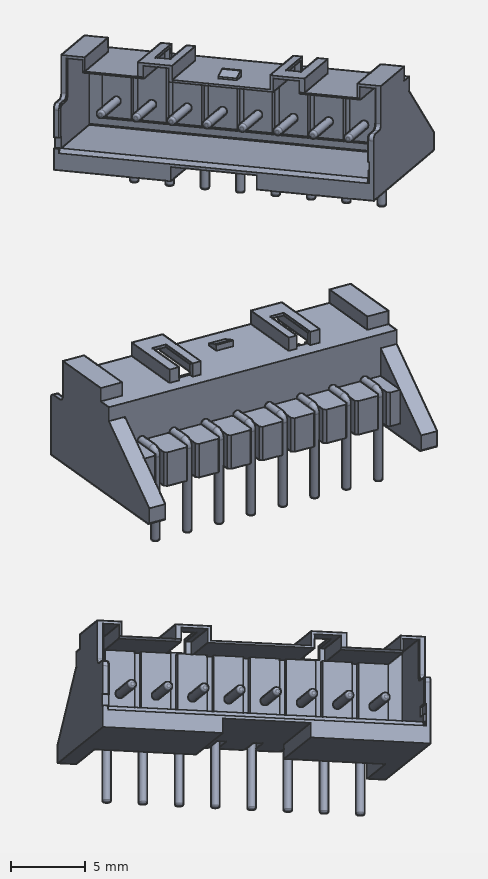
import cadquery as cq


LENGTH = 22.6
DEPTH = 12.6
HEIGHT = 7.6
ROOF_TOP = 6.6
ROOF_FRONT_Y = 1.54
REAR_WALL_Y = 7.44

BOX_REAR_Y = 6.4
SHOULDER_Z = 4.59
SHOULDER_RADIUS = 0.38
SLOPE_TOP_Z = 5.55
SLOPE_FOOT_Z = 1.22
REAR_FOOT_CHAMFER = 0.11
REAR_WING_THICKNESS = 1.27

SIDE_WALL = 0.45
FLOOR_Z = 1.5
CEILING_Z = 6.45
RAISED_CEILING_Z = 7.4
CAVITY_REAR_Y = 6.05
CAVITY_REAR_CHAMFER = 0.07
LIP_RUN = 0.23
LIP_DROP = 0.3
MOUTH_FLARE = 0.1

CORNER_BOX_INNER_X = 9.63
CORNER_CHANNEL_INNER_X = 9.79
KEY_BOX_INNER_X = 3.45
KEY_BOX_OUTER_X = 5.9
KEY_CHANNEL_INNER_X = 3.68
KEY_CHANNEL_OUTER_X = 5.51
KEY_SLOT_INNER_X = 4.1
KEY_SLOT_OUTER_X = 5.15
KEY_SLOT_FRONT_Y = 2.98

BUMP_WIDTH = 1.3
BUMP_FRONT_Y = 2.85
BUMP_CREST_Y = 3.68
BUMP_REAR_Y = 3.85
BUMP_FRONT_Z = 6.73
BUMP_TOP_Z = 7.03

FOOT_GAP_WIDTH = 6.05
FOOT_GAP_HEIGHT = 1.0

LEFT_NOTCH_DEPTH = 0.25
LEFT_NOTCH_BOTTOM = 1.5
LEFT_NOTCH_TOP = 2.28
RIGHT_POCKET_LENGTH = 1.13
RIGHT_POCKET_DEPTH = 0.14
RIGHT_POCKET_BOTTOM = 2.01
RIGHT_POCKET_TOP = 2.7

PIN_COUNT = 8
PIN_ROW_LENGTH = 17.5
PIN_DIAMETER = 0.6
PIN_AXIS_Z = 3.5
PIN_LEG_Y = 9.22
PIN_FRONT_Y = 2.12
PIN_BOTTOM_Z = -3.2
PIN_BEND_RADIUS = 0.36
PIN_TIP_ROUND = 0.18
PAD_WIDTH = 2.03
PAD_FRONT_Y = 5.55
PAD_BOTTOM_Z = 2.15
PAD_CHAMFER = 0.15
COMB_GAP = 0.63
COMB_REAR_Y = 9.95
COMB_CHAMFER = 0.18

PIN_PITCH = PIN_ROW_LENGTH / (PIN_COUNT - 1)
PIN_XS = [i * PIN_PITCH - PIN_ROW_LENGTH / 2 for i in range(PIN_COUNT)]
INNER_X = LENGTH / 2 - SIDE_WALL
WING_INNER_X = LENGTH / 2 - REAR_WING_THICKNESS


def block(x0, x1, y0, y1, z0, z1):
    """Box between two opposite corners, given as ranges along X, Y and Z."""
    size = (x1 - x0, y1 - y0, z1 - z0)
    return cq.Workplane("XY").box(*size, centered=False).translate((x0, y0, z0))


def mirrored(shape):
    """The shape together with its mirror image across the YZ plane."""
    return shape.union(shape.mirror("YZ"))


def side_wall_sketch(x):
    """Side wall outline in the YZ plane at the given X."""
    r = SHOULDER_RADIUS
    return (
        cq.Workplane("YZ", origin=(x, 0, 0))
        .moveTo(0, 0)
        .lineTo(0, SHOULDER_Z - r)
        .radiusArc((r, SHOULDER_Z), r)
        .lineTo(ROOF_FRONT_Y - r, SHOULDER_Z)
        .radiusArc((ROOF_FRONT_Y, SHOULDER_Z + r), -r)
        .lineTo(ROOF_FRONT_Y, HEIGHT)
        .lineTo(BOX_REAR_Y, HEIGHT)
        .lineTo(BOX_REAR_Y, ROOF_TOP)
        .lineTo(REAR_WALL_Y, ROOF_TOP)
        .lineTo(REAR_WALL_Y, SLOPE_TOP_Z)
        .lineTo(DEPTH, SLOPE_FOOT_Z)
        .lineTo(DEPTH, REAR_FOOT_CHAMFER)
        .lineTo(DEPTH - REAR_FOOT_CHAMFER, 0)
        .close()
    )


def shell():
    """Solid envelope: floor and roof block, raised boxes and both side walls."""
    core = block(-INNER_X, INNER_X, 0, REAR_WALL_Y, 0, FLOOR_Z)
    core = core.union(block(-INNER_X, INNER_X, ROOF_FRONT_Y, REAR_WALL_Y, 0, ROOF_TOP))
    corner = block(CORNER_BOX_INNER_X, INNER_X, ROOF_FRONT_Y, BOX_REAR_Y, ROOF_TOP, HEIGHT)
    key = block(KEY_BOX_INNER_X, KEY_BOX_OUTER_X, ROOF_FRONT_Y, BOX_REAR_Y, ROOF_TOP, HEIGHT)
    wall = side_wall_sketch(INNER_X).extrude(SIDE_WALL)
    wing = side_wall_sketch(WING_INNER_X).extrude(REAR_WING_THICKNESS)
    wing = wing.intersect(block(0, LENGTH, CAVITY_REAR_Y, DEPTH, 0, ROOF_TOP))
    return core.union(mirrored(corner.union(key).union(wall).union(wing)))


def cavity():
    """Room inside the shroud, with the channels that rise into the raised boxes."""
    room = block(-INNER_X, INNER_X, 0, CAVITY_REAR_Y, FLOOR_Z, CEILING_Z)
    room = room.edges(">Y and <Z").chamfer(CAVITY_REAR_CHAMFER)
    channel_z = (FLOOR_Z + CEILING_Z) / 2
    corner = block(CORNER_CHANNEL_INNER_X, INNER_X, 0, CAVITY_REAR_Y, channel_z, RAISED_CEILING_Z)
    key = block(
        KEY_CHANNEL_INNER_X, KEY_CHANNEL_OUTER_X, 0, CAVITY_REAR_Y, channel_z, RAISED_CEILING_Z
    )
    slot = block(
        KEY_SLOT_INNER_X, KEY_SLOT_OUTER_X, KEY_SLOT_FRONT_Y, REAR_WALL_Y, ROOF_TOP, HEIGHT
    )
    return room.union(mirrored(corner.union(key).union(slot)))


def flare_mouth(body):
    """Bevel the inner front edges of both side walls, from floor to ceiling."""
    for side in (-1, 1):
        corners = [
            (side * INNER_X - MOUTH_FLARE, -MOUTH_FLARE, FLOOR_Z),
            (side * INNER_X + MOUTH_FLARE, ROOF_FRONT_Y + MOUTH_FLARE, RAISED_CEILING_Z),
        ]
        body = body.edges(cq.selectors.BoxSelector(*corners)).chamfer(MOUTH_FLARE)
    return body


def floor_lip():
    """Wedge that bevels the front edge of the cavity floor."""
    return (
        cq.Workplane("YZ", origin=(-INNER_X - MOUTH_FLARE, 0, 0))
        .polyline([(0, FLOOR_Z), (LIP_RUN, FLOOR_Z), (0, FLOOR_Z - LIP_DROP)])
        .close()
        .extrude(2 * (INNER_X + MOUTH_FLARE))
    )


def roof_bevels():
    """Wedges that thin the roof to a sharp front edge between corner and key boxes."""
    thickness = ROOF_TOP - CEILING_Z
    wedge = (
        cq.Workplane("YZ", origin=(KEY_CHANNEL_OUTER_X, 0, 0))
        .moveTo(ROOF_FRONT_Y, CEILING_Z)
        .lineTo(ROOF_FRONT_Y + thickness, CEILING_Z)
        .lineTo(ROOF_FRONT_Y, ROOF_TOP)
        .close()
        .extrude(CORNER_CHANNEL_INNER_X - KEY_CHANNEL_OUTER_X)
    )
    return mirrored(wedge)


def wall_cuts():
    """Notch across the left wall; shallow pocket inside the right wall with a bevel below it."""
    notch = block(
        -LENGTH / 2, -INNER_X, 0, LEFT_NOTCH_DEPTH, LEFT_NOTCH_BOTTOM, LEFT_NOTCH_TOP
    )
    pocket = block(
        INNER_X, INNER_X + RIGHT_POCKET_DEPTH, 0, RIGHT_POCKET_LENGTH,
        RIGHT_POCKET_BOTTOM, RIGHT_POCKET_TOP,
    )
    bevel = (
        cq.Workplane("XY", origin=(0, 0, FLOOR_Z - LIP_DROP))
        .polyline([(INNER_X, 0), (INNER_X + RIGHT_POCKET_DEPTH, 0), (INNER_X, LIP_RUN)])
        .close()
        .extrude(RIGHT_POCKET_BOTTOM - FLOOR_Z + LIP_DROP)
    )
    return notch.union(pocket).union(bevel)


def bump():
    """Wedge-shaped latch bump in the middle of the roof."""
    return (
        cq.Workplane("YZ", origin=(-BUMP_WIDTH / 2, 0, 0))
        .moveTo(BUMP_FRONT_Y, ROOF_TOP)
        .lineTo(BUMP_FRONT_Y, BUMP_FRONT_Z)
        .lineTo(BUMP_CREST_Y, BUMP_TOP_Z)
        .lineTo(BUMP_REAR_Y, BUMP_TOP_Z)
        .lineTo(BUMP_REAR_Y, ROOF_TOP)
        .close()
        .extrude(BUMP_WIDTH)
    )


def pad(x):
    """Raised pad on the rear wall of the cavity around one pin."""
    body = block(
        x - PAD_WIDTH / 2, x + PAD_WIDTH / 2, PAD_FRONT_Y, CAVITY_REAR_Y, PAD_BOTTOM_Z, CEILING_Z
    )
    return body.edges("<Y and <Z").chamfer(PAD_CHAMFER)


def comb():
    """Row of teeth behind the rear wall, one gap for each pin leg."""
    edges = [-WING_INNER_X]
    for x in PIN_XS:
        edges += [x - COMB_GAP / 2, x + COMB_GAP / 2]
    edges.append(WING_INNER_X)
    teeth = cq.Workplane("XY")
    for x0, x1 in zip(edges[0::2], edges[1::2]):
        tooth = block(x0, x1, REAR_WALL_Y, COMB_REAR_Y, FOOT_GAP_HEIGHT, PIN_AXIS_Z)
        if x0 > -WING_INNER_X:
            tooth = tooth.edges("|Z and >Y and <X").chamfer(COMB_CHAMFER)
        if x1 < WING_INNER_X:
            tooth = tooth.edges("|Z and >Y and >X").chamfer(COMB_CHAMFER)
        teeth = teeth.union(tooth)
    return teeth


def pin(x):
    """Round pin running back from the mouth and bent down into a leg."""
    r = PIN_BEND_RADIUS
    path = (
        cq.Workplane("YZ", origin=(x, 0, 0))
        .moveTo(PIN_FRONT_Y, PIN_AXIS_Z)
        .lineTo(PIN_LEG_Y - r, PIN_AXIS_Z)
        .radiusArc((PIN_LEG_Y, PIN_AXIS_Z - r), r)
        .lineTo(PIN_LEG_Y, PIN_BOTTOM_Z)
    )
    rod = (
        cq.Workplane("XZ", origin=(x, PIN_FRONT_Y, PIN_AXIS_Z))
        .circle(PIN_DIAMETER / 2)
        .sweep(path)
    )
    return rod.faces("<Y or <Z").edges().fillet(PIN_TIP_ROUND)


foot_gap = block(-FOOT_GAP_WIDTH / 2, FOOT_GAP_WIDTH / 2, 0, REAR_WALL_Y, 0, FOOT_GAP_HEIGHT)

result = flare_mouth(shell().cut(cavity())).cut(floor_lip()).cut(roof_bevels())
result = result.cut(wall_cuts()).cut(foot_gap)
result = result.union(bump()).union(comb())
for pin_x in PIN_XS:
    result = result.union(pad(pin_x)).union(pin(pin_x))